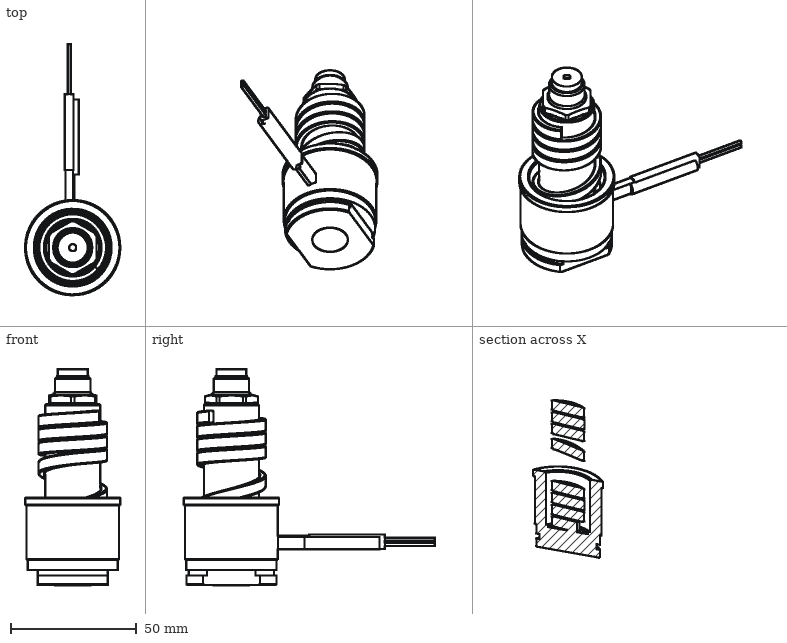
import cadquery as cq
import math

total_height = 86.2
foot_step = 0.2
foot_radius = 7.1

base_radius = 18.0
base_top = 10.2
base_bottom_chamfer = 0.4
groove_radius = 17.0
groove_bottom = 4.0
groove_top = 6.1
flat_half_width = 14.0

cup_radius = 18.5
cup_bore_radius = 15.0
cup_top = 35.1
cup_edge_chamfer = 0.4
bore_chamfer = 0.5
seat_bore_radius = 14.5
seat_height = 1.0
flange_radius = 19.0
flange_height = 3.2

post_radius = 11.0
post_top = 72.2
post_chamfer = 0.5

hex_across_flats = 19.0
hex_corner_radius = 10.6
hex_bottom = 72.7
hex_top = 76.1
hex_face_radius = 7.8
hex_slope_height = 0.8
neck_radius = 9.0
nose_radius = 7.1
nose_root_top = 77.0
nose_top = 82.2
shoulder_radius = 6.3
shoulder_top = 83.0
tip_radius = 6.0
tip_start = 83.4
tip_hole_radius = 1.4
tip_hole_depth = 1.4
tip_point_height = 0.7

spring_outer_radius = 13.7
strip_height = 4.9
strip_inner_radius = 11.1
strip_chamfer = 0.4
spring_top = 69.7
spring_end_angle = -40.5
closed_pitch = 5.3
open_pitch = 21.2
closed_angle = 1094
blend_angle = 140
open_angle = 210
path_step = 36

lead_inner_end = 17.0
flat_lead_x = -1.4
flat_lead_z = 17.4
cable_width = 3.0
cable_height = 5.1
cable_round = 0.6
sleeve_width = 3.6
sleeve_height = 5.9
sleeve_round = 0.9
sleeve_start = 31.0
sleeve_end = 61.1
wire_radius = 0.65
wire_spacing = 2.1
wire_end = 81.0
joint_overlap = 1.0
tube_radius = 2.5
tube_start = 29.1
tube_end = 59.0
round_lead_z = 16.9
round_cable_width = 1.5
round_cable_height = 5.0
round_cable_round = 0.7


def disc(radius, bottom, top):
    """Cylinder on the main axis between two heights."""
    return cq.Workplane("XY").workplane(offset=bottom).circle(radius).extrude(top - bottom)


def make_base():
    """Grooved disc with two wrench flats below the groove top and a small boss underneath."""
    base = disc(base_radius, foot_step, base_top).faces("<Z").chamfer(base_bottom_chamfer)
    groove = disc(flange_radius, groove_bottom, groove_top).cut(
        disc(groove_radius, groove_bottom, groove_top)
    )
    base = base.cut(groove)
    between_flats = cq.Workplane("XY").box(
        2 * flat_half_width, 2 * base_radius, groove_top, centered=(True, True, False)
    )
    lower = base.intersect(between_flats)
    upper = base.intersect(disc(base_radius, groove_top, base_top))
    return lower.union(upper).union(disc(foot_radius, 0, base_top))


def make_cup():
    """Flanged sleeve open at the top, its bore narrowing to a spring seat at the floor."""
    wall = disc(cup_radius, base_top, cup_top).faces("<Z").chamfer(cup_edge_chamfer)
    flange = disc(flange_radius, cup_top - flange_height, cup_top).edges().chamfer(cup_edge_chamfer)
    bore = disc(cup_bore_radius, base_top + seat_height, cup_top)
    seat_bore = disc(seat_bore_radius, base_top, base_top + seat_height)
    cup = wall.union(flange).cut(bore).cut(seat_bore)
    bore_mouth = cq.selectors.RadiusNthSelector(0)
    return cup.faces(">Z").edges(bore_mouth).chamfer(bore_chamfer)


def make_post():
    """Post, neck under the hexagon, nose and tip as one turned shape."""
    outline = [
        (0, base_top),
        (post_radius, base_top),
        (post_radius, post_top - post_chamfer),
        (post_radius - post_chamfer, post_top),
        (neck_radius, post_top),
        (neck_radius, hex_bottom),
        (hex_face_radius, hex_bottom),
        (hex_face_radius, hex_top),
        (nose_radius, nose_root_top),
        (nose_radius, nose_top),
        (shoulder_radius, shoulder_top),
        (shoulder_radius, tip_start),
        (tip_radius, tip_start),
        (tip_radius, total_height),
        (tip_hole_radius, total_height),
        (tip_hole_radius, total_height - tip_hole_depth),
        (0, total_height - tip_hole_depth + tip_point_height),
    ]
    return cq.Workplane("XZ").polyline(outline).close().revolve(360, (0, 0), (0, 1))


def make_hexagon():
    """Collar with flats facing +X and -X, its corners turned down and its top sloped."""
    across_corners = hex_across_flats / math.cos(math.pi / 6)
    prism = (
        cq.Workplane("XY").workplane(offset=hex_bottom)
        .transformed(rotate=(0, 0, 90))
        .polygon(6, across_corners).extrude(hex_top - hex_bottom)
    )
    envelope = (
        cq.Workplane("XZ")
        .polyline([
            (0, hex_bottom),
            (hex_corner_radius, hex_bottom),
            (hex_corner_radius, hex_top - hex_slope_height),
            (hex_face_radius, hex_top),
            (0, hex_top),
        ])
        .close().revolve(360, (0, 0), (0, 1))
    )
    return prism.intersect(envelope)


def spring_drop(turned):
    """Height lost after turning this many degrees down from the upper end."""
    slope_change = open_pitch - closed_pitch
    opening = min(max(turned - closed_angle, 0), blend_angle)
    fully_open = min(max(turned - closed_angle - blend_angle, 0), open_angle)
    closing = min(max(turned - closed_angle - blend_angle - open_angle, 0), blend_angle)
    extra = opening**2 / (2 * blend_angle) + fully_open + closing - closing**2 / (2 * blend_angle)
    return (closed_pitch * turned + slope_change * extra) / 360


def make_spring():
    """Flat strip wound with closed coils at both ends, resting on the cup floor."""
    mid_radius = (strip_inner_radius + spring_outer_radius) / 2
    mid_top = spring_top - strip_height / 2
    total_angle = 2 * closed_angle + 2 * blend_angle + open_angle
    steps = round(total_angle / path_step)
    path_points = []
    for step in range(steps + 1):
        turned = total_angle * step / steps
        angle = math.radians(-turned)
        height = mid_top - spring_drop(turned)
        path_points.append((mid_radius * math.cos(angle), mid_radius * math.sin(angle), height))
    path = cq.Workplane("XY").spline(path_points)
    raised_path = path.translate((0, 0, strip_height))
    strip = (
        cq.Workplane("XZ", origin=(mid_radius, 0, mid_top))
        .sketch().rect(spring_outer_radius - strip_inner_radius, strip_height)
        .vertices().chamfer(strip_chamfer).finalize()
    )
    spring = strip.sweep(path, auxSpine=raised_path)
    return spring.rotate((0, 0, 0), (0, 0, 1), spring_end_angle)


def bar_along_y(x, z, width, height, rounding, start, end):
    return (
        cq.Workplane("XY").box(width, end - start, height)
        .edges("|Y").fillet(rounding)
        .translate((x, (start + end) / 2, z))
    )


def rod_along_y(x, z, radius, start, end):
    return cq.Workplane("XZ", origin=(x, start, z)).circle(radius).extrude(start - end)


def make_flat_lead():
    """Flat cable running into a sleeve, from which two wires come out one above the other."""
    cable = bar_along_y(
        flat_lead_x, flat_lead_z, cable_width, cable_height, cable_round,
        lead_inner_end, sleeve_start + joint_overlap,
    )
    lead = cable.union(bar_along_y(
        flat_lead_x, flat_lead_z, sleeve_width, sleeve_height, sleeve_round,
        sleeve_start, sleeve_end,
    ))
    for side in (-1, 1):
        wire_z = flat_lead_z + side * wire_spacing / 2
        wire = rod_along_y(flat_lead_x, wire_z, wire_radius, sleeve_end - joint_overlap, wire_end)
        lead = lead.union(wire)
    return lead


def make_round_lead():
    """Narrow cable running into a plain round tube beside the flat lead."""
    cable = bar_along_y(
        0, round_lead_z, round_cable_width, round_cable_height, round_cable_round,
        lead_inner_end, tube_start + joint_overlap,
    )
    return cable.union(rod_along_y(0, round_lead_z, tube_radius, tube_start, tube_end))


result = (
    make_base()
    .union(make_cup())
    .union(make_post())
    .union(make_hexagon())
    .union(make_flat_lead())
    .union(make_round_lead())
    .union(make_spring(), clean=False)
)